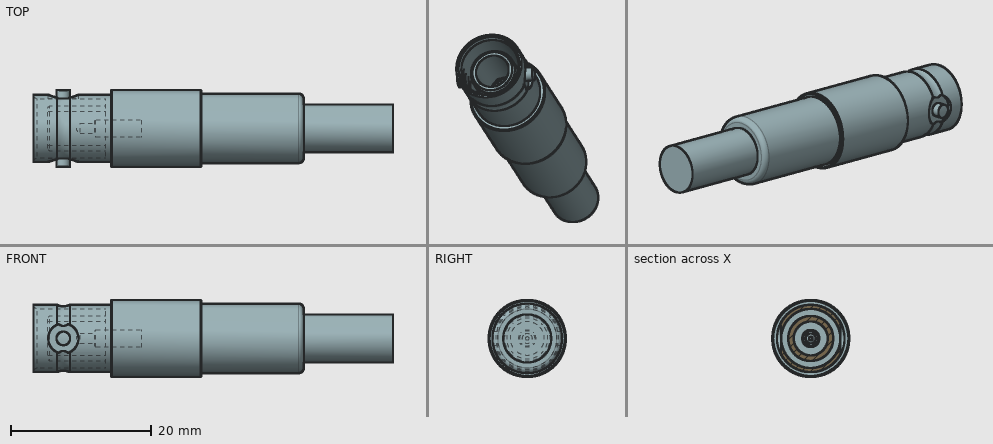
import cadquery as cq


total_length = 51.2
shoulder_start = 11.0
shoulder_end = 23.9
housing_length = 38.5

front_radius = 4.8
shoulder_radius = 5.505
rear_radius = 4.95
shoulder_chamfer = 0.15
rear_fillet = 0.75

groove_position = 4.25
groove_width = 1.85
groove_depth = 0.2

lug_radius = 0.95
spot_face_radius = 2.15
spot_face_offset = 4.25

cavity_radius = 4.2
cavity_mouth_radius = 4.45
cavity_mouth_depth = 0.5
cavity_depth = 10.25
sleeve_radius = 3.2
sleeve_start = 2.0
sleeve_chamfer = 0.3
sleeve_bore_radius = 2.4

collar_radius = 1.25
collar_start = 8.7
collar_chamfer = 0.15
collar_seat_depth = 5.1
pin_radius = 0.7
pin_start = 6.15
pin_tip_chamfer = 0.45

tail_radius = 3.45

collar_end = cavity_depth + collar_seat_depth


def turned(profile):
    """Solid of revolution about X from (x, radius) points."""
    return cq.Workplane("XY").polyline(profile).close().revolve(360, (0, 0, 0), (1, 0, 0))


def rod(radius, start, end):
    """Round bar along X between two stations."""
    return cq.Workplane("YZ", origin=(start, 0, 0)).circle(radius).extrude(end - start)


def make_shell():
    front = rod(front_radius, 0, shoulder_start)
    shoulder = rod(shoulder_radius, shoulder_start, shoulder_end).edges().chamfer(shoulder_chamfer)
    rear = rod(rear_radius, shoulder_end, housing_length).faces(">X").edges().fillet(rear_fillet)
    return front.union(shoulder).union(rear)


def make_groove():
    """Ring whose inner side is a bulging arc, deepest at the groove's middle."""
    start = groove_position - groove_width / 2
    end = groove_position + groove_width / 2
    bottom = (groove_position, front_radius - groove_depth)
    profile = cq.Workplane("XY").moveTo(start, front_radius).threePointArc(bottom, (end, front_radius)).close()
    return profile.revolve(360, (0, 0, 0), (1, 0, 0))


def cross_rod(radius, inner_end, outer_end, side):
    """Round bar along Y at the groove, reaching outward on the -Y (side -1) or +Y (side +1)."""
    bar = cq.Workplane("XZ", origin=(groove_position, -inner_end, 0)).circle(radius)
    bar = bar.extrude(outer_end - inner_end)
    return bar if side < 0 else bar.mirror("XZ")


def make_spot_face(side):
    return cross_rod(spot_face_radius, spot_face_offset, shoulder_radius, side)


def make_lug(side):
    """Lug whose outer end follows the round of the shoulder."""
    lug = cross_rod(lug_radius, cavity_radius, shoulder_radius, side)
    return lug.intersect(rod(shoulder_radius, 0, shoulder_start))


def make_cavity():
    return turned([
        (0, 0),
        (0, cavity_mouth_radius),
        (cavity_mouth_depth, cavity_radius),
        (cavity_depth, cavity_radius),
        (cavity_depth, 0),
    ])


def make_sleeve():
    sleeve = rod(sleeve_radius, sleeve_start, cavity_depth).faces("<X").edges().chamfer(sleeve_chamfer)
    return sleeve.cut(rod(sleeve_bore_radius, sleeve_start, cavity_depth))


def make_housing():
    housing = make_shell().cut(make_groove())
    for side in (-1, 1):
        housing = housing.cut(make_spot_face(side))
        housing = housing.union(make_lug(side))
    housing = housing.cut(make_cavity()).union(make_sleeve())
    return housing.cut(rod(collar_radius, cavity_depth, collar_end))


def make_contact():
    collar = rod(collar_radius, collar_start, collar_end).faces("<X").edges().chamfer(collar_chamfer)
    pin = rod(pin_radius, pin_start, collar_start).faces("<X").edges().chamfer(pin_tip_chamfer)
    return collar.union(pin)


def make_tail():
    return rod(tail_radius, housing_length, total_length)


housing = make_housing()
contact = make_contact()
tail = make_tail()

result = cq.Compound.makeCompound([housing.val(), contact.val(), tail.val()])